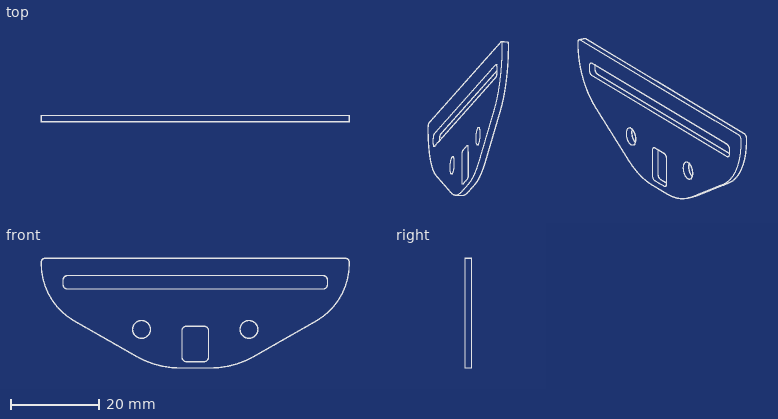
import cadquery as cq
import math

width = 70.0
height = 25.0
thickness = 1.5
back_origin = (0, thickness / 2, 0)
corner_radius = 1.0

side_radius = 15.0
bottom_radius = 20.0
flat_width = 6.8
slope_angle = math.radians(29.7)

slot_length = 60.0
slot_height = 3.0
slot_top = -4.0

window_width = 6.0
window_height = 8.0
window_top = -15.5
opening_radius = 1.0

hole_diameter = 4.0
hole_spacing = 24.4
hole_z = -16.2


def arc_point(center, radius, angle):
    """Point on a circle, with the angle measured from straight down toward -X."""
    x = center[0] - radius * math.sin(angle)
    z = center[1] - radius * math.cos(angle)
    return (x, z)


def mirrored(point):
    return (-point[0], point[1])


def make_plate():
    half_width = width / 2
    bottom_center = (-flat_width / 2, bottom_radius - height)

    side_center_x = side_radius - half_width
    run = bottom_center[0] - side_center_x
    radius_step = bottom_radius - side_radius
    rise = run * math.tan(slope_angle) - radius_step / math.cos(slope_angle)
    side_center = (side_center_x, bottom_center[1] + rise)

    side_start = (-half_width, side_center[1])
    side_mid_angle = (math.pi / 2 + slope_angle) / 2
    side_mid = arc_point(side_center, side_radius, side_mid_angle)
    side_end = arc_point(side_center, side_radius, slope_angle)
    bottom_start = arc_point(bottom_center, bottom_radius, slope_angle)
    bottom_mid = arc_point(bottom_center, bottom_radius, slope_angle / 2)
    bottom_end = (bottom_center[0], -height)

    outline = (
        cq.Workplane("XZ", origin=back_origin)
        .moveTo(-half_width, 0)
        .lineTo(*side_start)
        .threePointArc(side_mid, side_end)
        .lineTo(*bottom_start)
        .threePointArc(bottom_mid, bottom_end)
        .lineTo(*mirrored(bottom_end))
        .threePointArc(mirrored(bottom_mid), mirrored(bottom_start))
        .lineTo(*mirrored(side_end))
        .threePointArc(mirrored(side_mid), mirrored(side_start))
        .lineTo(half_width, 0)
        .close()
    )
    plate = outline.extrude(thickness)
    top_corners = plate.faces(">Z").edges("|Y")
    return top_corners.fillet(corner_radius)


def rounded_opening(length, opening_height, top):
    """Cutter for a rounded rectangular opening centred on X = 0."""
    return (
        cq.Workplane("XZ", origin=back_origin)
        .center(0, top - opening_height / 2)
        .rect(length, opening_height)
        .extrude(thickness)
        .edges("|Y")
        .fillet(opening_radius)
    )


def round_holes():
    """Cutter for the pair of round holes."""
    return (
        cq.Workplane("XZ", origin=back_origin)
        .pushPoints([(side * hole_spacing / 2, hole_z) for side in (-1, 1)])
        .circle(hole_diameter / 2)
        .extrude(thickness)
    )


result = (
    make_plate()
    .cut(rounded_opening(slot_length, slot_height, slot_top))
    .cut(rounded_opening(window_width, window_height, window_top))
    .cut(round_holes())
)